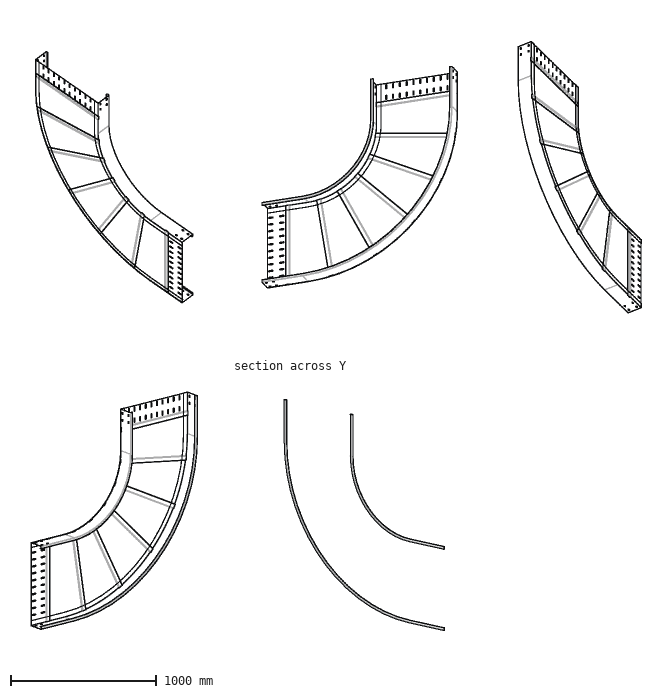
import cadquery as cq
overall_length = 1400.0
tray_width = 600.0
tray_height = 110.0
arm_length = 300.0
bend_angle = 90.0
outer_radius = overall_length - arm_length
inner_radius = outer_radius - tray_width
mid_radius = (outer_radius + inner_radius) / 2

sheet_thickness = 2.0
fold_inner_radius = 1.0
fold_outer_radius = fold_inner_radius + sheet_thickness

flange_width = 36.0
lip_width = 20.0
hem_depth = 11.0

floor_bottom = sheet_thickness
floor_top = floor_bottom + sheet_thickness

groove_width = 28.0
groove_depth = 5.0
radial_rib_count = 5
radial_rib_step = bend_angle / radial_rib_count
arm_rib_position = arm_length / 2

floor_slot_length = 30.0
floor_slot_width = 7.0
floor_slot_count = 10
floor_slot_pitch = tray_width / 12
floor_slot_end_gap = 25.0
floor_slot_row_gap = 80.0

web_slot_length = 14.0
web_slot_width = 8.0
web_slot_end_gap = 25.0
web_slot_spacing_along = 50.0
web_slot_spacing_up = 63.0


def turned(shape, angle):
    """The shape swung about the bend axis, from the upright arm towards the level arm."""
    return shape.rotate((0, 0, 0), (0, 1, 0), -angle)


def on_level_arm(shape):
    """The shape on the upright arm, copied to the mirrored place on the level arm."""
    return turned(shape.mirror("XY"), bend_angle)


def rounded_outline(workplane, corners):
    """Closed outline through (x, y, radius) corners, each rounded by its radius; the first stays sharp."""
    outline = workplane.moveTo(*corners[0][:2])
    for index in range(1, len(corners)):
        x, y, radius = corners[index]
        corner = cq.Vector(x, y)
        before = cq.Vector(*corners[index - 1][:2])
        after = cq.Vector(*corners[(index + 1) % len(corners)][:2])
        arc_start = corner + (before - corner).normalized() * radius
        arc_end = corner + (after - corner).normalized() * radius
        outline = outline.lineTo(arc_start.x, arc_start.y)
        if radius > 0:
            outline = outline.tangentArcPoint((arc_end.x, arc_end.y), relative=False)
    return outline.close()


def along_elbow(corners):
    """Solid whose cross-section follows the upright arm, the bend and the level arm."""
    upright_arm = rounded_outline(cq.Workplane("XY"), corners).extrude(arm_length)
    bend = rounded_outline(cq.Workplane("XY"), corners).revolve(bend_angle, (0, 0), (0, -1))
    return upright_arm.union(bend).union(on_level_arm(upright_arm))


def web_slots():
    """Cutters for the slots through the webs of both rails, near the open ends of both arms."""
    first = arm_length - web_slot_end_gap
    middle = tray_height / 2
    centres = [
        (middle + side * web_slot_spacing_up / 2, first - step * web_slot_spacing_along)
        for side in (-1, 1)
        for step in (0, 1)
    ]
    upright = (
        cq.Workplane("YZ", origin=(-outer_radius, 0, 0))
        .pushPoints(centres)
        .slot2D(web_slot_length, web_slot_width, 90)
        .extrude(tray_width)
    )
    return upright.union(on_level_arm(upright))


def side_rail(web_radius, inward):
    """Rail with its web face at web_radius; inward is +1 or -1, the X direction into the tray."""
    top = tray_height
    t = sheet_thickness
    r_in = fold_inner_radius
    r_out = fold_outer_radius
    profile = [
        (flange_width, 0, 0),
        (0, 0, r_out),
        (0, top, r_out),
        (lip_width, top, r_out),
        (lip_width, top - hem_depth, 0),
        (lip_width - t, top - hem_depth, 0),
        (lip_width - t, top - t, r_in),
        (t, top - t, r_in),
        (t, t, r_in),
        (flange_width, t, 0),
    ]
    corners = [(inward * depth - web_radius, height, radius) for depth, height, radius in profile]
    return along_elbow(corners).cut(web_slots())


def rib_bar(bottom, width, root_radius, crown_radius):
    """Bar across the tray, with flared roots at the bottom height and a rounded crown."""
    side = width / 2
    foot = side + 2 * root_radius
    base = bottom - sheet_thickness
    crown = bottom + groove_depth
    corners = [
        (base, -foot, 0),
        (bottom, -foot, 0),
        (bottom, -side, root_radius),
        (crown, -side, crown_radius),
        (crown, side, crown_radius),
        (bottom, side, root_radius),
        (bottom, foot, 0),
        (base, foot, 0),
    ]
    workplane = cq.Workplane("YZ", origin=(-outer_radius, 0, 0))
    return rounded_outline(workplane, corners).extrude(tray_width)


def at_rib_places(bar):
    """Copies of the bar at the middle of each arm and evenly spread around the bend."""
    arm_bar = bar.translate((0, 0, arm_rib_position))
    bars = [arm_bar, on_level_arm(arm_bar)]
    for index in range(radial_rib_count):
        bars.append(turned(bar, (index + 0.5) * radial_rib_step))
    return bars


def floor_slots():
    """Cutters for the two rows of slots across the floor of each arm."""
    first_row = arm_length - floor_slot_end_gap
    first_column = -mid_radius - floor_slot_pitch * (floor_slot_count - 1) / 2
    centres = [
        (first_column + column * floor_slot_pitch, first_row - row * floor_slot_row_gap)
        for row in (0, 1)
        for column in range(floor_slot_count)
    ]
    upright = (
        cq.Workplane("XZ", origin=(0, floor_top, 0))
        .pushPoints(centres)
        .slot2D(floor_slot_length, floor_slot_width, 90)
        .extrude(sheet_thickness)
    )
    return upright.union(on_level_arm(upright))


def floor_band(top):
    """Flat band from the bottom of the floor to the given height, between the folds of the two webs."""
    outer_edge = -outer_radius + fold_outer_radius
    inner_edge = -inner_radius - fold_outer_radius
    corners = [
        (outer_edge, floor_bottom, 0),
        (inner_edge, floor_bottom, 0),
        (inner_edge, top, 0),
        (outer_edge, top, 0),
    ]
    return along_elbow(corners)


def floor_plate():
    """Floor sheet with hollow ribs and end slots."""
    ridge_width = groove_width + 2 * sheet_thickness
    ridge = rib_bar(floor_top, ridge_width, fold_inner_radius, fold_outer_radius)
    groove = rib_bar(floor_bottom, groove_width, fold_outer_radius, fold_inner_radius)
    plate = floor_band(floor_top)
    rib_zone = floor_band(floor_top + groove_depth)
    for bar in at_rib_places(ridge):
        plate = plate.union(bar.intersect(rib_zone))
    for bar in at_rib_places(groove):
        plate = plate.cut(bar)
    return plate.cut(floor_slots())


outer_rail = side_rail(outer_radius, 1)
inner_rail = side_rail(inner_radius, -1)
floor = floor_plate()

bodies = [body.solids().val() for body in (outer_rail, inner_rail, floor)]
result = cq.Compound.makeCompound(bodies)